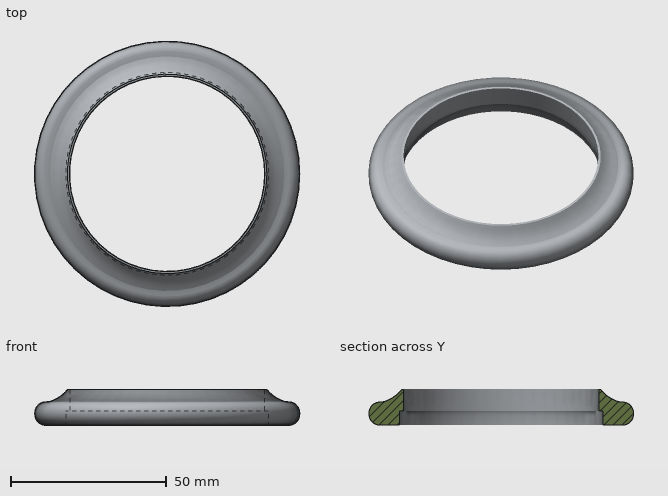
import cadquery as cq
import math

outer_radius = 42.5
bore_radius = 31.24
counterbore_radius = 32.51
counterbore_depth = 4.5
collar_radius = 32.0
total_height = 11.5
flange_height = 7.5
band_height = 0.25
shoulder_outer_radius = 39.35
shoulder_inner_radius = 37.6
shoulder_inner_height = 7.65
cove_mid_radius = 34.4
cove_mid_height = 9.2

rim_inset = outer_radius - shoulder_outer_radius
rim_arc_height = (flange_height - band_height) / 2
rim_arc_radius = (rim_inset**2 + rim_arc_height**2) / (2 * rim_inset)
half_arc_angle = math.asin(rim_arc_height / rim_arc_radius) / 2
rim_mid_radius = outer_radius - rim_arc_radius * (1 - math.cos(half_arc_angle))
rim_mid_rise = rim_arc_radius * math.sin(half_arc_angle)
band_bottom = rim_arc_height
band_top = band_bottom + band_height

profile = (
    cq.Workplane("XZ")
    .moveTo(counterbore_radius, 0)
    .lineTo(shoulder_outer_radius, 0)
    .threePointArc((rim_mid_radius, band_bottom - rim_mid_rise), (outer_radius, band_bottom))
    .lineTo(outer_radius, band_top)
    .threePointArc((rim_mid_radius, band_top + rim_mid_rise), (shoulder_outer_radius, flange_height))
    .lineTo(shoulder_inner_radius, shoulder_inner_height)
    .threePointArc((cove_mid_radius, cove_mid_height), (collar_radius, total_height))
    .lineTo(bore_radius, total_height)
    .lineTo(bore_radius, counterbore_depth)
    .lineTo(counterbore_radius, counterbore_depth)
    .close()
)

result = profile.revolve(360, (0, 0, 0), (0, 1, 0))